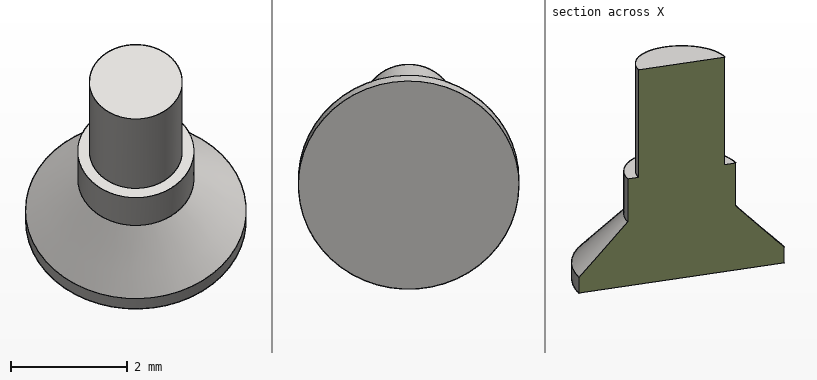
import cadquery as cq

base_diameter = 3.8
collar_diameter = 2.0
pin_diameter = 1.6

base_height = 0.3
cone_height = (base_diameter - collar_diameter) / 2
collar_height = 0.8
pin_height = 2.0

cone_bottom = base_height
collar_bottom = cone_bottom + cone_height
pin_bottom = collar_bottom + collar_height
pin_top = pin_bottom + pin_height

profile = (
    cq.Workplane("XZ")
    .moveTo(0, 0)
    .lineTo(base_diameter / 2, 0)
    .lineTo(base_diameter / 2, cone_bottom)
    .lineTo(collar_diameter / 2, collar_bottom)
    .lineTo(collar_diameter / 2, pin_bottom)
    .lineTo(pin_diameter / 2, pin_bottom)
    .lineTo(pin_diameter / 2, pin_top)
    .lineTo(0, pin_top)
    .close()
)

result = profile.revolve(360, (0, 0, 0), (0, 1, 0))